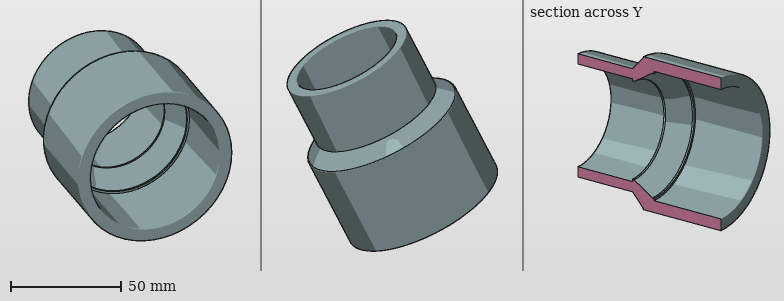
import cadquery as cq

length = 81.3
small_outer_radius = 60.5 / 2
large_outer_radius = 75.0 / 2
small_socket_radius = 50.0 / 2
large_socket_radius = 63.0 / 2
small_stop_radius = 48.0 / 2
large_stop_radius = 61.0 / 2

small_socket_depth = 31.0
large_socket_depth = 38.0
stop_length = 1.0
edge_round = 0.5

shoulder_start = small_socket_depth
shoulder_end = 37.1
large_socket_start = length - large_socket_depth


def revolve_about_x(profile):
    """Turn a closed (x, radius) outline into a solid of revolution."""
    return cq.Workplane("XY").polyline(profile).close().revolve(360, (0, 0, 0), (1, 0, 0))


large_barrel = (
    cq.Workplane("YZ", origin=(shoulder_end, 0, 0))
    .circle(large_outer_radius)
    .extrude(length - shoulder_end)
    .faces("<X")
    .edges()
    .fillet(edge_round)
)

small_barrel = revolve_about_x([
    (0, 0),
    (0, small_outer_radius),
    (shoulder_start, small_outer_radius),
    (shoulder_end, large_outer_radius - edge_round),
    (shoulder_end, 0),
])

bore = revolve_about_x([
    (0, 0),
    (0, small_socket_radius),
    (small_socket_depth, small_socket_radius),
    (small_socket_depth, small_stop_radius),
    (small_socket_depth + stop_length, small_stop_radius),
    (large_socket_start - stop_length, large_stop_radius),
    (large_socket_start, large_stop_radius),
    (large_socket_start, large_socket_radius),
    (length, large_socket_radius),
    (length, 0),
])

coupling = large_barrel.union(small_barrel).cut(bore)

result = coupling.faces("<X or >X").edges().fillet(edge_round)